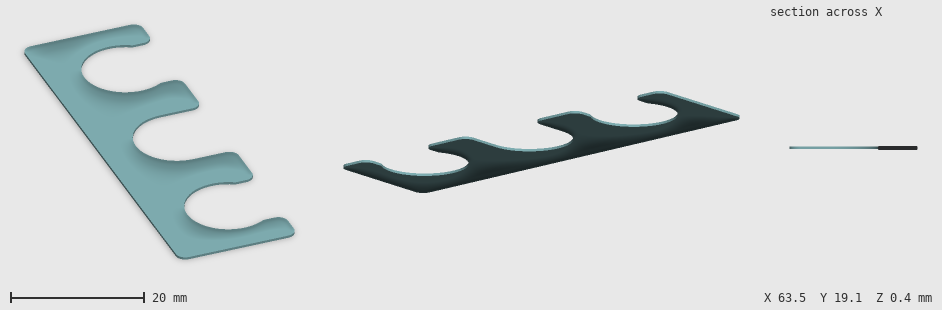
import cadquery as cq

length = 63.5
depth = 19.05
thickness = 0.4
corner_radius = 1.5

seat_pitch = 20.65
seat_radius = 6.6
seat_floor = 5.7
outer_mouth_width = 11.3
middle_mouth_width = 2 * seat_radius

seat_y = -depth / 2 + seat_floor + seat_radius
mouth_length = depth / 2 - seat_y


def seat_cutter(x, mouth_width):
    """Round seat with a straight mouth running out to the +Y edge."""
    seat = cq.Workplane("XY").center(x, seat_y).circle(seat_radius).extrude(thickness)
    mouth = (
        cq.Workplane("XY")
        .center(x, seat_y + mouth_length / 2)
        .rect(mouth_width, mouth_length)
        .extrude(thickness)
    )
    return seat.union(mouth)


plate = cq.Workplane("XY").rect(length, depth).extrude(thickness)
for x, mouth_width in (
    (-seat_pitch, outer_mouth_width),
    (0, middle_mouth_width),
    (seat_pitch, outer_mouth_width),
):
    plate = plate.cut(seat_cutter(x, mouth_width))

long_edge_corners = plate.faces("<Y or >Y").edges("|Z")
result = long_edge_corners.fillet(corner_radius)